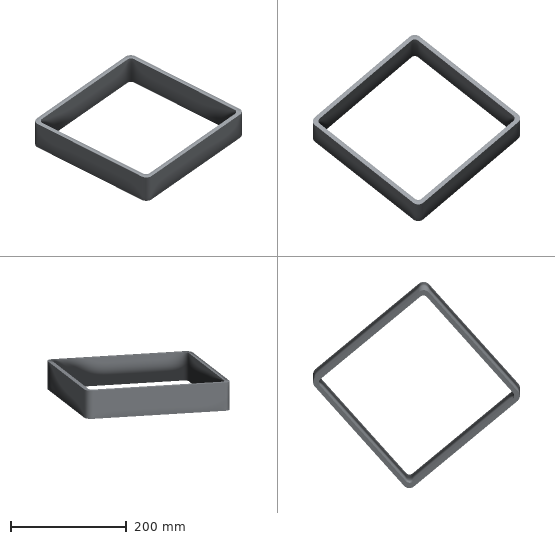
import cadquery as cq

side = 260.0
height = 50.0
wall = 8.0

outer_radius = 12.0
inner_radius = 8.0


def rounded_square_prism(width, corner_radius):
    """Square prism standing on Z = 0 with rounded vertical edges."""
    prism = cq.Workplane("XY").rect(width, width).extrude(height)
    return prism.edges("|Z").fillet(corner_radius)


outer_body = rounded_square_prism(side, outer_radius)
opening = rounded_square_prism(side - 2 * wall, inner_radius)

result = outer_body.cut(opening)